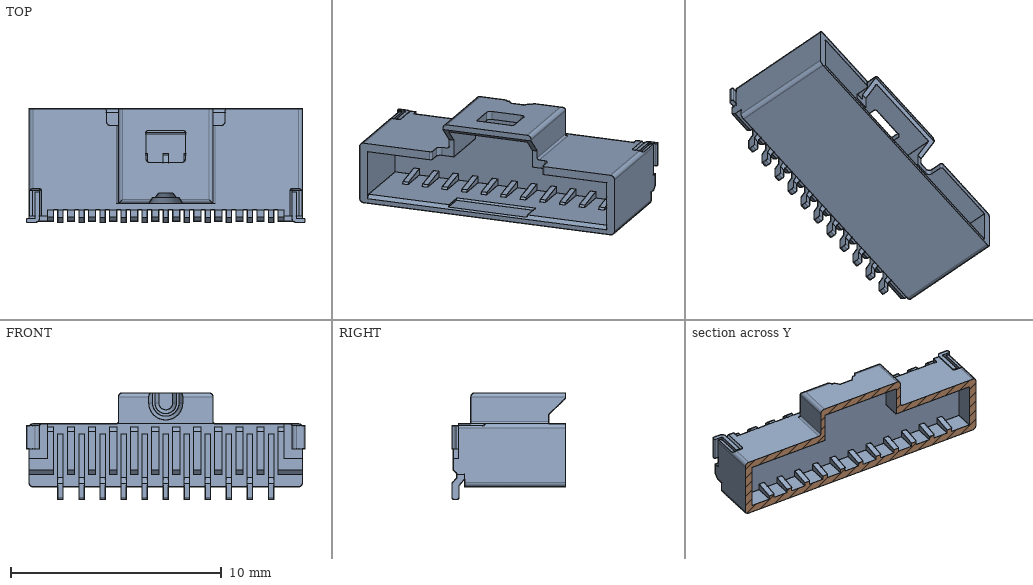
import cadquery as cq


body_width = 13.0
body_height = 3.0
body_rear_y = -4.8
body_edge_radius = 0.2
wall = 0.4
cavity_back_y = -3.6
mouth_chamfer = 0.17

tower_width = 4.5
tower_top_z = 4.47
tower_rear_y = -4.51
tower_inner_width = 4.0
tower_base_flare = 0.1
lip_bottom_z = 4.21
lip_root_z = 3.44
lip_overhang = 0.8

relief_width = 5.64
relief_inner_radius = 0.2
relief_outer_radius = 0.1

window_width = 1.88
window_front_y = -1.04
window_rear_y = -2.56
window_front_radius = 0.1
window_rear_radius = 0.2
floor_step_depth = 0.09
floor_step_y = -1.12

notch_axis_z = 3.99
notch_step_y = -4.225
notch_bottom_y = -4.0
notch_mouth_radius = 0.81
notch_mouth_end_radius = 0.63
notch_inner_radius = 0.51
notch_inner_end_radius = 0.33

pitch = 1.0
contact_count = 11
rib_width = 0.35
rib_rear_y = -5.35
rib_bottom_z = 0.6
rib_top_z = 2.84
rib_chamfer = 0.2
end_block_rear_y = -5.1
end_block_inner_x = 5.61
corner_top_z = 1.36

contact_width = 0.26
tail_top_z = 2.5
tail_bottom_z = -0.6
tail_rear_y = -5.41
tail_thickness = 0.345
tail_tip_radius = 0.1
shank_rear_y = -5.175
bend_outer_top_z = 0.435
bend_outer_bottom_z = 0.17
bend_inner_top_z = 0.37
bend_inner_bottom_z = 0.06
blade_width = 0.28
blade_tip_y = -2.12
blade_nose_length = 0.08
blade_nose_height = 0.1
blade_root_height = 0.35

tab_thickness = 0.2
tab_outer_x = 6.62
tab_inner_x = 6.0
tab_front_y = -3.95
tab_rear_y = tail_rear_y
tab_bottom_z = 1.8
tab_tip_radius = 0.06
tab_slot_outer_x = 6.32
tab_recess_depth = 0.09
tab_front_clearance = 0.065

half_width = body_width / 2
overlap = 0.2


def box(x_range, y_range, z_range):
    """Axis-aligned block between two coordinates on each axis."""
    size = [end - start for start, end in (x_range, y_range, z_range)]
    corner = (x_range[0], y_range[0], z_range[0])
    return cq.Workplane("XY").box(*size, centered=False).translate(corner)


def extrude_along_x(points, x_center, width):
    """Extrude a closed (y, z) outline symmetrically about an X position."""
    profile = cq.Workplane("YZ", origin=(x_center, 0, 0)).polyline(points).close()
    return profile.extrude(width / 2, both=True)


def mirrored_pair(shape):
    return shape.union(shape.mirror("YZ"))


def make_body():
    body = box((-half_width, half_width), (body_rear_y, 0), (0, body_height))
    end_block = box(
        (-half_width, -end_block_inner_x),
        (end_block_rear_y, body_rear_y + overlap),
        (rib_bottom_z, body_height),
    )
    body = body.union(mirrored_pair(end_block)).clean()
    body = body.edges("|Y and (<X or >X) and (>Z or <Z)").fillet(body_edge_radius)
    return body


def make_tower():
    profile = [
        (tower_rear_y, body_height - overlap),
        (-lip_overhang, body_height - overlap),
        (-lip_overhang, lip_root_z),
        (0, lip_bottom_z),
        (0, tower_top_z),
        (tower_rear_y, tower_top_z),
    ]
    tower = extrude_along_x(profile, 0, tower_width)
    side_edges = tower.faces(">Z").edges("|Y")
    rear_edge = tower.faces(">Z").edges("<Y")
    return side_edges.add(rear_edge).fillet(body_edge_radius)


def make_tower_flares():
    """Concave fillets where the tower sides meet the housing top."""
    side_x = -tower_width / 2
    flare = (
        cq.Workplane("XZ", origin=(0, -lip_overhang, 0))
        .moveTo(side_x - tower_base_flare, body_height)
        .radiusArc((side_x, body_height + tower_base_flare), -tower_base_flare)
        .lineTo(side_x + overlap, body_height + tower_base_flare)
        .lineTo(side_x + overlap, body_height - overlap)
        .lineTo(side_x - tower_base_flare, body_height - overlap)
        .close()
        .extrude(-lip_overhang - tower_rear_y)
    )
    return mirrored_pair(flare)


def rib_profile(chamfered_top):
    top_points = [(rib_rear_y, corner_top_z), (body_rear_y + overlap, corner_top_z)]
    if chamfered_top:
        top_points = [
            (rib_rear_y, rib_top_z - rib_chamfer),
            (rib_rear_y + rib_chamfer, rib_top_z),
            (body_rear_y + overlap, rib_top_z),
        ]
    return top_points + [
        (body_rear_y + overlap, rib_bottom_z),
        (rib_rear_y + rib_chamfer, rib_bottom_z),
        (rib_rear_y, rib_bottom_z + rib_chamfer),
    ]


def make_ribs():
    """Ribs between the contacts, end ribs and the low corner blocks beside them."""
    last_rib_x = contact_count * pitch / 2
    end_rib_inner_x = last_rib_x - rib_width / 2
    end_rib_width = end_block_inner_x - end_rib_inner_x
    corner_width = half_width - end_rib_inner_x

    end_rib = extrude_along_x(
        rib_profile(True), -end_rib_inner_x - end_rib_width / 2, end_rib_width
    )
    corner = extrude_along_x(
        rib_profile(False), -end_rib_inner_x - corner_width / 2, corner_width
    )
    ribs = mirrored_pair(end_rib.union(corner))
    for index in range(1, contact_count):
        ribs = ribs.union(extrude_along_x(rib_profile(True), index * pitch - last_rib_x, rib_width))
    return ribs


def make_cavity():
    main = box(
        (wall - half_width, half_width - wall),
        (cavity_back_y, 0),
        (wall, body_height - wall),
    )
    under_tower = box(
        (-tower_inner_width / 2, tower_inner_width / 2),
        (cavity_back_y, 0),
        (wall, tower_top_z - wall),
    )
    floor_lead_in = [(0, wall - mouth_chamfer), (0, wall), (-mouth_chamfer, wall)]
    lead_in = extrude_along_x(floor_lead_in, 0, body_width - 2 * wall)
    floor_step = [
        (0, wall),
        (floor_step_y - floor_step_depth, wall),
        (floor_step_y, wall - floor_step_depth),
        (0, wall - floor_step_depth),
    ]
    step = extrude_along_x(floor_step, 0, tower_inner_width)
    return main.union(under_tower).union(lead_in).union(step)


def make_relief():
    side_x = relief_width / 2
    inner_x = side_x - relief_inner_radius
    outer_x = side_x + relief_outer_radius
    return (
        cq.Workplane("XY", origin=(0, 0, body_height - 2 * wall))
        .moveTo(-outer_x, 0)
        .radiusArc((-side_x, -relief_outer_radius), relief_outer_radius)
        .lineTo(-side_x, relief_inner_radius - lip_overhang)
        .radiusArc((-inner_x, -lip_overhang), -relief_inner_radius)
        .lineTo(inner_x, -lip_overhang)
        .radiusArc((side_x, relief_inner_radius - lip_overhang), -relief_inner_radius)
        .lineTo(side_x, -relief_outer_radius)
        .radiusArc((outer_x, 0), relief_outer_radius)
        .close()
        .extrude(2 * wall)
    )


def make_window():
    window = box(
        (-window_width / 2, window_width / 2),
        (window_rear_y, window_front_y),
        (body_height, tower_top_z),
    )
    window = window.edges("|Z and >Y").fillet(window_front_radius)
    return window.edges("|Z and <Y").fillet(window_rear_radius)


def make_notch():
    """Two stepped half cones, carried straight up through the tower top."""
    half_profile = [
        (0, tower_rear_y),
        (notch_mouth_radius, tower_rear_y),
        (notch_mouth_end_radius, notch_step_y),
        (notch_inner_radius, notch_step_y),
        (notch_inner_end_radius, notch_bottom_y),
        (0, notch_bottom_y),
    ]
    axis_plane = cq.Workplane("XY", origin=(0, 0, notch_axis_z))
    cones = axis_plane.polyline(half_profile).close().revolve(360, (0, 0, 0), (0, 1, 0))
    upper_half = axis_plane.polyline(half_profile).close().extrude(tower_top_z - notch_axis_z)
    upper_half = mirrored_pair(upper_half)
    return cones.union(upper_half)


def make_contact(x_center):
    """Bent solder tail behind the housing and a contact blade rising from the cavity floor."""
    tail_front_y = tail_rear_y + tail_thickness
    tail_profile = [
        (body_rear_y + overlap, tail_top_z),
        (shank_rear_y, tail_top_z),
        (shank_rear_y, bend_outer_top_z),
        (tail_rear_y, bend_outer_bottom_z),
        (tail_rear_y, tail_bottom_z),
        (tail_front_y, tail_bottom_z),
        (tail_front_y, bend_inner_bottom_z),
        (body_rear_y, bend_inner_top_z),
        (body_rear_y + overlap, bend_inner_top_z),
    ]
    tail = extrude_along_x(tail_profile, x_center, contact_width)
    tail = tail.faces("<Z").edges("|X").fillet(tail_tip_radius)
    blade_root_y = cavity_back_y - overlap
    blade_profile = [
        (blade_root_y, wall / 2),
        (blade_tip_y, wall / 2),
        (blade_tip_y, wall),
        (blade_tip_y - blade_nose_length, wall + blade_nose_height),
        (blade_root_y, wall + blade_root_height),
    ]
    blade = extrude_along_x(blade_profile, x_center, blade_width)
    return tail.union(blade)


def make_tab_recess():
    """Shallow sloped recess around a tab, with the deeper slot that holds it."""
    floor_z = body_height - tab_recess_depth
    slot_front_y = tab_front_y + tab_front_clearance
    recess = (
        cq.Workplane("XY", origin=(0, 0, floor_z))
        .moveTo(-tab_outer_x, slot_front_y)
        .lineTo(-tab_inner_x, slot_front_y)
        .lineTo(-tab_inner_x, tab_rear_y)
        .lineTo(-tab_outer_x, tab_rear_y)
        .close()
        .extrude(tab_recess_depth, taper=-45)
    )
    slot = box(
        (-tab_slot_outer_x, -tab_inner_x),
        (tab_rear_y, slot_front_y),
        (tab_bottom_z, floor_z),
    )
    return mirrored_pair(recess.union(slot))


def make_tabs():
    """L-shaped solder tabs: a leg in the slot and a flange turned outward."""
    leg_outer_x = tab_inner_x + tab_thickness
    flange_front_y = tab_rear_y + tab_thickness
    top_z = body_height - tab_recess_depth
    tab = (
        cq.Workplane("XY", origin=(0, 0, tab_bottom_z))
        .moveTo(-tab_inner_x, tab_front_y)
        .lineTo(-tab_inner_x, flange_front_y)
        .radiusArc((-leg_outer_x, tab_rear_y), tab_thickness)
        .lineTo(-tab_outer_x, tab_rear_y)
        .lineTo(-tab_outer_x, flange_front_y)
        .lineTo(-leg_outer_x, flange_front_y)
        .lineTo(-leg_outer_x, tab_front_y)
        .close()
        .extrude(top_z - tab_bottom_z)
    )
    tab = tab.edges("|Z and <X").fillet(tab_tip_radius)
    return mirrored_pair(tab)


housing = make_body().union(make_tower()).union(make_tower_flares())
housing = housing.cut(make_tab_recess()).union(make_ribs())
housing = housing.cut(make_cavity()).cut(make_relief()).cut(make_window()).cut(make_notch())

result = housing.union(make_tabs())
for contact_index in range(contact_count):
    result = result.union(make_contact((contact_index - (contact_count - 1) / 2) * pitch))